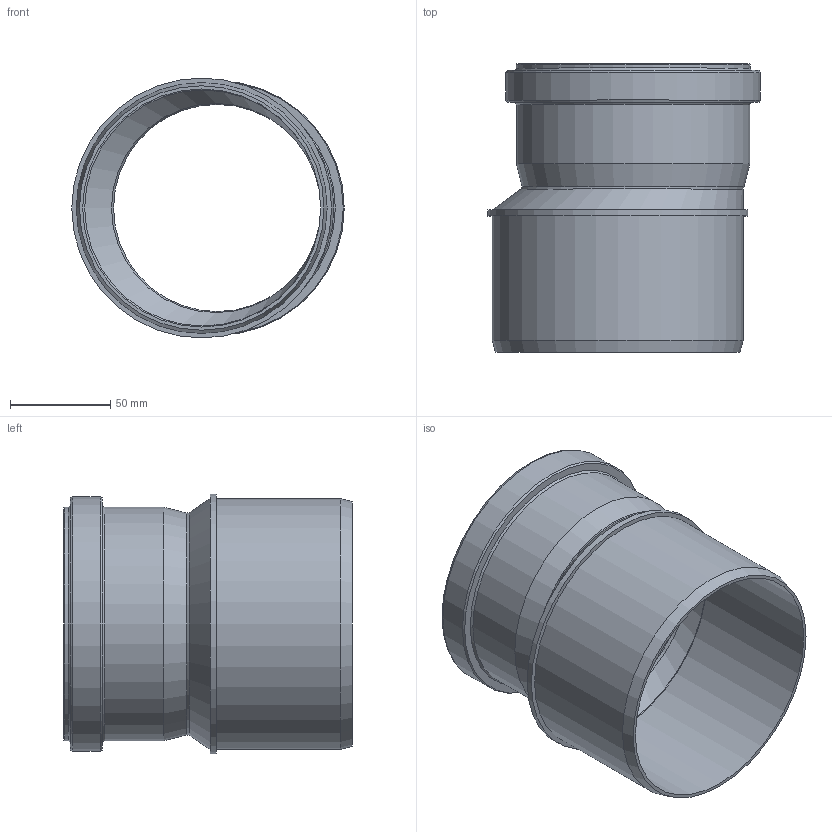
import cadquery as cq

spigot_diameter = 125.2
spigot_tip_diameter = 122.0
spigot_taper_length = 6.0
spigot_bore = 118.8
spigot_bore_end = 68.6

flange_diameter = 129.7
flange_start = 68.0
flange_end = 71.0

axis_offset = 7.7
eccentric_shift = 0.5

ledge_bore = spigot_bore - 2 * eccentric_shift
ledge_end = spigot_bore_end + 0.3

neck_diameter = 110.7
neck_entry_diameter = 111.0
neck_start = 81.4
neck_end = 82.6
neck_entry_offset = axis_offset - eccentric_shift

neck_bore = 103.4
neck_entry_bore = neck_bore + 2 * eccentric_shift
neck_bore_start = 79.6
neck_bore_end = 81.4

socket_diameter = 116.5
socket_bore = 111.0
socket_start = 94.0
total_length = 144.0

collar_diameter = 126.9
collar_start = 124.7
collar_end = 140.7
bevel_length = 1.1
bevel_depth = 0.5

foot_diameter = 118.0
foot_length = 1.1

lip_diameter = 116.8
rim_length = 0.6
rim_depth = 0.3


def section(diameter, y, x):
    """Circle at station Y, centred on the given X, in a plane facing +Y."""
    plane = cq.Plane(origin=(x, y, 0), xDir=(1, 0, 0), normal=(0, 1, 0))
    return cq.Workplane(plane).circle(diameter / 2)


def cylinder(diameter, start, end, x):
    """Cylinder along Y between two stations, centred on the given X."""
    return section(diameter, start, x).extrude(end - start)


def transition(start_ring, end_ring):
    """Ruled body between two rings, each given as (diameter, Y, X of the centre)."""
    wires = [section(*ring).val() for ring in (start_ring, end_ring)]
    return cq.Workplane(cq.Solid.makeLoft(wires, True))


def socket_cone(start_diameter, start, end_diameter, end):
    """Cone on the socket axis between two stations."""
    return transition((start_diameter, start, axis_offset), (end_diameter, end, axis_offset))


def spigot():
    body = transition((spigot_tip_diameter, 0, 0), (spigot_diameter, spigot_taper_length, 0))
    body = body.union(cylinder(spigot_diameter, spigot_taper_length, flange_end, 0))
    return body.union(cylinder(flange_diameter, flange_start, flange_end, 0))


def neck():
    entry_ring = (neck_entry_diameter, neck_start, neck_entry_offset)
    body = transition((spigot_diameter, flange_end, 0), entry_ring)
    body = body.union(transition(entry_ring, (neck_diameter, neck_end, axis_offset)))
    return body.union(socket_cone(neck_diameter, neck_end, socket_diameter, socket_start))


def collar():
    bevel_diameter = collar_diameter - 2 * bevel_depth
    band_start = collar_start + bevel_length
    band_end = collar_end - bevel_length
    body = socket_cone(socket_diameter, collar_start - foot_length, foot_diameter, collar_start)
    body = body.union(socket_cone(bevel_diameter, collar_start, collar_diameter, band_start))
    body = body.union(cylinder(collar_diameter, band_start, band_end, axis_offset))
    return body.union(socket_cone(collar_diameter, band_end, bevel_diameter, collar_end))


def lip():
    rim_start = total_length - rim_length
    rim_diameter = lip_diameter - 2 * rim_depth
    body = cylinder(lip_diameter, collar_end, rim_start, axis_offset)
    body = body.union(socket_cone(foot_diameter, collar_end, lip_diameter, collar_end + foot_length))
    return body.union(socket_cone(lip_diameter, rim_start, rim_diameter, total_length))


def passage():
    """Open way through the whole part, from the spigot tip to the socket mouth."""
    ledge_ring = (ledge_bore, ledge_end, eccentric_shift)
    entry_ring = (neck_entry_bore, neck_bore_start, neck_entry_offset)
    bore = cylinder(spigot_bore, 0, spigot_bore_end, 0)
    bore = bore.union(transition((spigot_bore, spigot_bore_end, 0), ledge_ring))
    bore = bore.union(transition(ledge_ring, entry_ring))
    bore = bore.union(transition(entry_ring, (neck_bore, neck_bore_end, axis_offset)))
    bore = bore.union(socket_cone(neck_bore, neck_bore_end, socket_bore, socket_start))
    return bore.union(cylinder(socket_bore, socket_start, total_length, axis_offset))


socket_wall = cylinder(socket_diameter, socket_start, collar_end, axis_offset)
outer_body = spigot().union(neck()).union(socket_wall).union(collar()).union(lip())
result = outer_body.cut(passage())